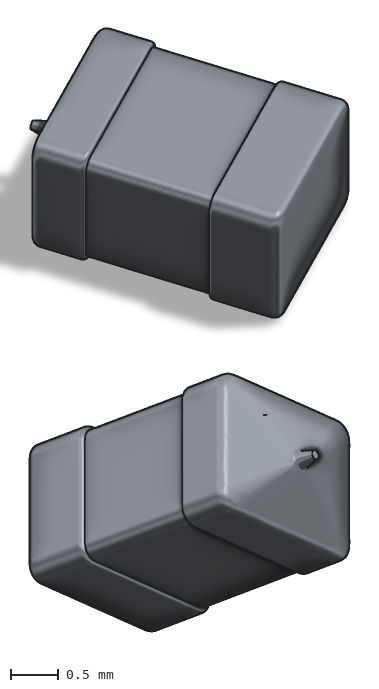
import cadquery as cq

LENGTH = 3.2
WIDTH = 2.0
HEIGHT = 1.6
CAP_LENGTH = 0.8
CORNER_DIAMETER = 0.4

CORNER_RADIUS = CORNER_DIAMETER / 2
OUTER_EDGE_RADIUS = CORNER_RADIUS / 2
STEP = OUTER_EDGE_RADIUS / 2

TIP_LENGTH = CORNER_RADIUS
TAPER_DEPTH = CORNER_RADIUS
TIP_BASE_RADIUS = OUTER_EDGE_RADIUS
TIP_END_RADIUS = TIP_BASE_RADIUS / 2
TIP_ROOT_FILLET = STEP

TAPER_END = TIP_LENGTH + TAPER_DEPTH
CORE_START = TIP_LENGTH + CAP_LENGTH
CORE_END = LENGTH - CAP_LENGTH

SELECT_TOLERANCE = 0.003


def section_plane(x):
    """Workplane across the long axis at the given X."""
    return cq.Workplane("YZ", origin=(x, 0, 0))


def rounded_block(x_start, x_end, inset=0.0):
    """Bar along X whose rounded rectangular section is set in all round."""
    return (
        section_plane(x_start)
        .rect(WIDTH - 2 * inset, HEIGHT - 2 * inset)
        .extrude(x_end - x_start)
        .edges("|X")
        .fillet(CORNER_RADIUS - inset)
    )


def edges_at(body, x, half_width, half_height):
    """Edges of the body in the plane X = x, within a centred rectangle."""
    y_reach = half_width + SELECT_TOLERANCE
    z_reach = half_height + SELECT_TOLERANCE
    near = (x - SELECT_TOLERANCE, -y_reach, -z_reach)
    far = (x + SELECT_TOLERANCE, y_reach, z_reach)
    return body.edges(cq.selectors.BoxSelector(near, far, boundingbox=True))


def make_core():
    """Plain bar between the two caps."""
    return rounded_block(CORE_START, CORE_END, STEP)


def make_flat_cap():
    """Cap with a flat outer end."""
    cap = rounded_block(CORE_END, LENGTH)
    cap = cap.faces(">X").edges().fillet(OUTER_EDGE_RADIUS)
    return cap.faces("<X").edges().fillet(STEP)


def make_taper():
    """Face blending from the cap outline to the round base of the tip."""
    outline = rounded_block(TAPER_END, CORE_START).faces("<X").wires().val()
    circle = section_plane(TIP_LENGTH).circle(TIP_BASE_RADIUS).wires().val()
    return cq.Workplane(cq.Solid.makeLoft([outline, circle], True))


def make_tip():
    """Small truncated cone pointing along -X."""
    return cq.Workplane(
        cq.Solid.makeCone(
            TIP_END_RADIUS, TIP_BASE_RADIUS, TIP_LENGTH, cq.Vector(0, 0, 0), cq.Vector(1, 0, 0)
        )
    )


def make_pointed_cap():
    """Cap with a tapered outer end that carries the tip."""
    cap = rounded_block(TAPER_END, CORE_START).union(make_taper()).union(make_tip())
    cap = edges_at(cap, TAPER_END, WIDTH / 2, HEIGHT / 2).fillet(OUTER_EDGE_RADIUS)
    cap = edges_at(cap, TIP_LENGTH, TIP_BASE_RADIUS, TIP_BASE_RADIUS).fillet(TIP_ROOT_FILLET)
    return cap.faces(">X").edges().fillet(STEP)


core = make_core()
flat_cap = make_flat_cap()
pointed_cap = make_pointed_cap()

result = cq.Compound.makeCompound([core.val(), flat_cap.val(), pointed_cap.val()])